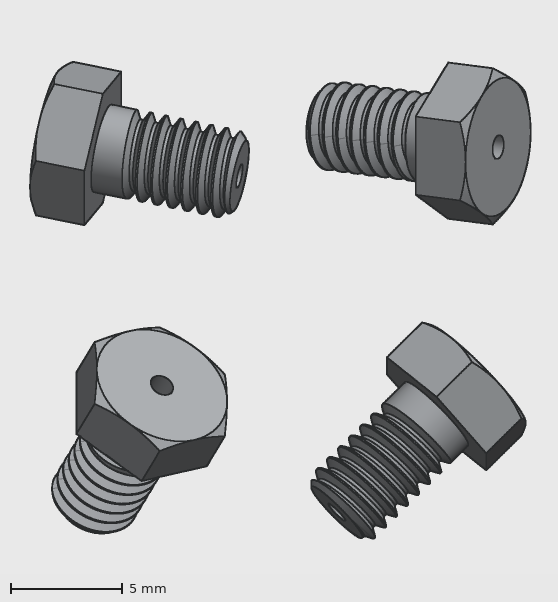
import cadquery as cq
import math

TOTAL_LENGTH = 8.89
ACROSS_FLATS = 6.27
HEAD_HEIGHT = 2.53
HEAD_CHAMFER_ANGLE = 30.0
SHANK_RADIUS = 2.01
TIP_CHAMFER = 0.38
BORE_DIAMETER = 1.08

PITCH = 0.7
ROOT_RADIUS = 1.62
ROOT_FLAT = 0.17
FLANK_ANGLE = 30.0
FULL_DEPTH_X = 3.95
FULL_DEPTH_ANGLE = 0.0
RUNOUT_TURN = 125.0
CUTTER_OVERLAP = 0.02

CUTTER_RADIUS = SHANK_RADIUS + CUTTER_OVERLAP
ACROSS_CORNERS = ACROSS_FLATS / math.cos(math.radians(30))


def axial_cylinder(radius, start, length):
    return cq.Workplane("YZ", origin=(start, 0, 0)).circle(radius).extrude(length)


def make_head():
    """Hexagonal prism with corners on Z, trimmed by a cone at the outer face."""
    prism = (
        cq.Workplane("YZ")
        .polygon(6, ACROSS_CORNERS)
        .extrude(HEAD_HEIGHT)
        .rotate((0, 0, 0), (1, 0, 0), 90)
    )
    face_radius = ACROSS_FLATS / 2
    corner_radius = ACROSS_CORNERS / 2
    chamfer_depth = (corner_radius - face_radius) * math.tan(math.radians(HEAD_CHAMFER_ANGLE))
    envelope = (
        cq.Workplane("XY")
        .moveTo(0, 0)
        .lineTo(0, face_radius)
        .lineTo(chamfer_depth, corner_radius)
        .lineTo(HEAD_HEIGHT, corner_radius)
        .lineTo(HEAD_HEIGHT, 0)
        .close()
        .revolve(360, (0, 0, 0), (1, 0, 0))
    )
    return prism.intersect(envelope)


def make_shank():
    shank = axial_cylinder(SHANK_RADIUS, HEAD_HEIGHT, TOTAL_LENGTH - HEAD_HEIGHT)
    return shank.faces(">X").chamfer(TIP_CHAMFER)


def half_width(radius):
    """Half the axial width of the groove at a given radius."""
    return ROOT_FLAT / 2 + (radius - ROOT_RADIUS) * math.tan(math.radians(FLANK_ANGLE))


def sweep_groove(section_points, helix):
    """Sweep a closed groove section, drawn on +X, along a helix about Z."""
    section = cq.Workplane("XZ").polyline(section_points).close()
    return section.sweep(cq.Workplane(obj=helix), isFrenet=True)


def place_groove(groove):
    """Lay the groove axis along X with its first section at the full-depth start."""
    section_angle_after_turn = -90.0
    return (
        groove.rotate((0, 0, 0), (0, 1, 0), 90)
        .rotate((0, 0, 0), (1, 0, 0), FULL_DEPTH_ANGLE - section_angle_after_turn)
        .translate((FULL_DEPTH_X, 0, 0))
    )


def cut_thread(shank):
    """Cut the thread one turn at a time, each turn continuing the last."""
    trapezoid = [
        (ROOT_RADIUS, -ROOT_FLAT / 2),
        (CUTTER_RADIUS, -half_width(CUTTER_RADIUS)),
        (CUTTER_RADIUS, half_width(CUTTER_RADIUS)),
        (ROOT_RADIUS, ROOT_FLAT / 2),
    ]
    helix = cq.Wire.makeHelix(PITCH, PITCH, ROOT_RADIUS)
    turn = place_groove(sweep_groove(trapezoid, helix))
    turn_count = math.ceil((TOTAL_LENGTH - FULL_DEPTH_X) / PITCH) + 1
    for index in range(turn_count):
        shank = shank.cut(turn.translate((index * PITCH, 0, 0)))
    return shank


def make_runout_groove():
    """Sharp V on a conical helix, climbing out of the shank towards the head."""
    apex_radius = ROOT_RADIUS - ROOT_FLAT / 2 / math.tan(math.radians(FLANK_ANGLE))
    vee = [
        (apex_radius, 0),
        (CUTTER_RADIUS, -half_width(CUTTER_RADIUS)),
        (CUTTER_RADIUS, half_width(CUTTER_RADIUS)),
    ]
    length = PITCH * RUNOUT_TURN / 360
    cone_angle = math.atan2(SHANK_RADIUS - apex_radius, length)
    slant = 1 / math.cos(cone_angle)
    helix = cq.Wire.makeHelix(
        PITCH * slant, length * slant, apex_radius, angle=math.degrees(cone_angle)
    )
    groove = place_groove(sweep_groove(vee, helix).rotate((0, 0, 0), (1, 0, 0), 180))
    core = axial_cylinder(ROOT_RADIUS, HEAD_HEIGHT, TOTAL_LENGTH - HEAD_HEIGHT)
    return groove.cut(core)


threaded_shank = cut_thread(make_shank()).cut(make_runout_groove())
bore = axial_cylinder(BORE_DIAMETER / 2, 0, TOTAL_LENGTH)
result = make_head().union(threaded_shank).cut(bore)